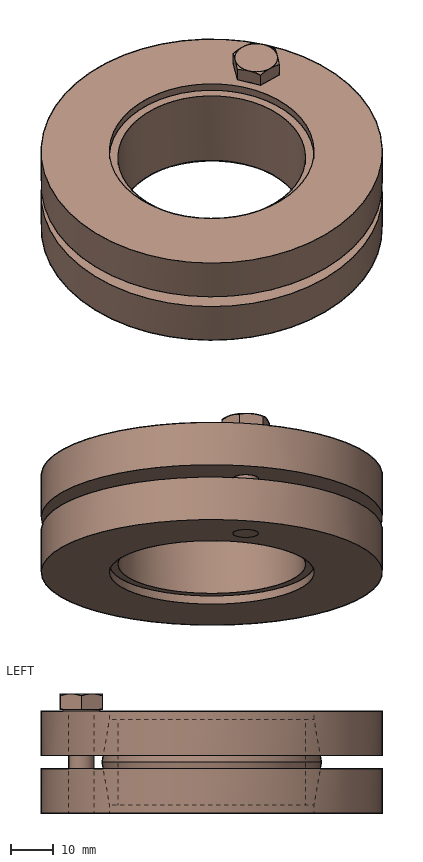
import cadquery as cq
import math

disc_diameter = 80.0
disc_thickness = 10.5
disc_gap = 3.0
stack_height = 2 * disc_thickness + disc_gap
mid_height = stack_height / 2

ring_bore_diameter = 44.0
ring_waist_diameter = 51.5
ring_end_diameter = 48.0
ring_setback = 2.0
ring_top = stack_height - ring_setback

bolt_offset = 30.6
shank_diameter = 6.0
collar_diameter = 8.7
collar_height = 0.4
head_across_flats = 10.0
bolt_rise = 4.0
head_height = bolt_rise - collar_height
head_across_corners = head_across_flats / math.cos(math.pi / 6)
head_chamfer_angle = math.radians(30)


def revolve_profile(points):
    """Revolve (radius, height) points around the vertical axis."""
    return cq.Workplane("XZ").polyline(points).close().revolve(360, (0, 0), (0, 1))


def cylinder(diameter, bottom, height):
    return cq.Workplane("XY").workplane(offset=bottom).circle(diameter / 2).extrude(height)


def make_ring_envelope():
    """Solid double cone that fills the tapered seat, widest at mid height."""
    return revolve_profile([
        (0, ring_setback),
        (ring_end_diameter / 2, ring_setback),
        (ring_waist_diameter / 2, mid_height),
        (ring_end_diameter / 2, ring_top),
        (0, ring_top),
    ])


def make_inner_ring():
    return make_ring_envelope().cut(cylinder(ring_bore_diameter, 0, stack_height))


def make_disc(bottom):
    """Disc with a tapered seat for the ring and a hole for the bolt shank."""
    disc = cylinder(disc_diameter, bottom, disc_thickness)
    mouth = cylinder(ring_end_diameter, bottom, disc_thickness)
    bolt_hole = cylinder(shank_diameter, bottom, disc_thickness).translate((0, bolt_offset, 0))
    return disc.cut(mouth).cut(make_ring_envelope()).cut(bolt_hole)


def make_bolt_head():
    """Hexagon with its upper corners trimmed by a cone."""
    hexagon = cq.Workplane("XY").polygon(6, head_across_corners).extrude(head_height)
    corner_radius = head_across_corners / 2
    flat_radius = head_across_flats / 2
    chamfer_drop = (corner_radius - flat_radius) * math.tan(head_chamfer_angle)
    trimming_cone = revolve_profile([
        (0, 0),
        (corner_radius, 0),
        (corner_radius, head_height - chamfer_drop),
        (flat_radius, head_height),
        (0, head_height),
    ])
    return hexagon.intersect(trimming_cone)


def make_bolt():
    """Bolt along the vertical axis: shank through both discs, collar and head."""
    shank = cylinder(shank_diameter, 0, stack_height)
    collar = cylinder(collar_diameter, stack_height, collar_height)
    head = make_bolt_head().translate((0, 0, stack_height + collar_height))
    return shank.union(collar).union(head).translate((0, bolt_offset, 0))


disc_bottoms = [0, disc_thickness + disc_gap]
discs = [make_disc(bottom) for bottom in disc_bottoms]
inner_ring = make_inner_ring()
bolt = make_bolt()

result = cq.Compound.makeCompound([
    *[disc.solids().val() for disc in discs],
    inner_ring.solids().val(),
    bolt.solids().val(),
])